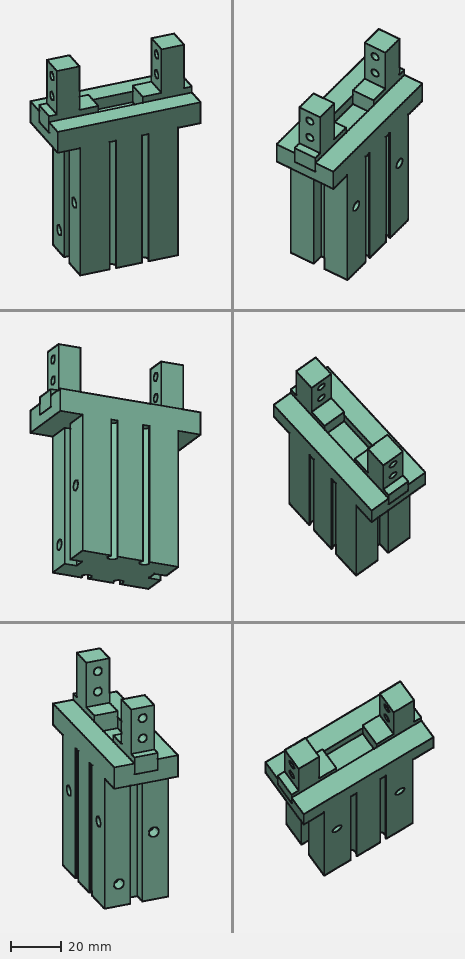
import cadquery as cq

width = 27.6
cap_length = 62.0
total_height = 90.0

block_length = 42.4
block_height = 58.0
cap_top = 67.5

channel_width = 10.1
channel_floor = 62.6

foot_length = 21.4
foot_top = 70.2
finger_thickness = 9.8
finger_outer_inset = 3.4
finger_hole_diameter = 3.5
finger_hole_heights = (76.1, 85.1)

end_slot_width = 5.2
end_slot_depth = 5.2

groove_mouth = 2.8
groove_diameter = 4.0
groove_axis_depth = groove_diameter / 2
groove_spacing = 14.0

port_diameter = 4.2
port_depth = 5.4
port_places = ((7.6, 30.0), (-7.6, 9.8))

mount_diameter = 4.2
mount_depth = 5.4
mount_spacing = 30.1
mount_height = 36.0


def box(size_x, size_y, bottom, top):
    """Box centred on the Z axis between two heights."""
    return cq.Workplane("XY", origin=(0, 0, bottom)).box(
        size_x, size_y, top - bottom, centered=(True, True, False)
    )


def cut_end_slots(body):
    for side in (-1, 1):
        slot = box(end_slot_width, 2 * end_slot_depth, 0, block_height)
        body = body.cut(slot.translate((0, side * block_length / 2, 0)))
    return body


def cut_sensor_grooves(body):
    for side in (-1, 1):
        for y in (-groove_spacing / 2, groove_spacing / 2):
            mouth = box(2 * groove_axis_depth, groove_mouth, 0, block_height)
            mouth = mouth.translate((side * width / 2, y, 0))
            axis_x = side * (width / 2 - groove_axis_depth)
            bottom = cq.Workplane("XY").center(axis_x, y).circle(groove_diameter / 2).extrude(block_height)
            body = body.cut(mouth).cut(bottom)
    return body


def cut_ports(body):
    ports = (
        cq.Workplane("XZ", origin=(0, -block_length / 2, 0))
        .pushPoints(port_places)
        .circle(port_diameter / 2)
        .extrude(-port_depth)
    )
    return body.cut(ports)


def cut_mount_holes(body):
    holes = (
        cq.Workplane("YZ", origin=(-width / 2, 0, mount_height))
        .pushPoints([(-mount_spacing / 2, 0), (mount_spacing / 2, 0)])
        .circle(mount_diameter / 2)
        .extrude(mount_depth)
    )
    return body.cut(holes)


def make_housing():
    block = box(width, block_length, 0, block_height)
    cap = box(width, cap_length, block_height, cap_top)
    channel = box(channel_width, cap_length, channel_floor, cap_top)
    body = block.union(cap).cut(channel)
    body = cut_end_slots(body)
    body = cut_sensor_grooves(body)
    body = cut_ports(body)
    return cut_mount_holes(body)


def make_jaw(side):
    """Jaw flush with one end of the cap; side is -1 or +1 along Y."""
    foot_y = side * (cap_length - foot_length) / 2
    finger_y = side * (cap_length / 2 - finger_outer_inset - finger_thickness / 2)
    foot = box(channel_width, foot_length, channel_floor, foot_top).translate((0, foot_y, 0))
    finger = box(channel_width, finger_thickness, foot_top, total_height).translate((0, finger_y, 0))
    holes = (
        cq.Workplane("XZ", origin=(0, finger_y, 0))
        .pushPoints([(0, z) for z in finger_hole_heights])
        .circle(finger_hole_diameter / 2)
        .extrude(finger_thickness, both=True)
    )
    return foot.union(finger).cut(holes)


housing = make_housing()
jaws = [make_jaw(side) for side in (-1, 1)]

result = cq.Compound.makeCompound([housing.val(), *[jaw.val() for jaw in jaws]])